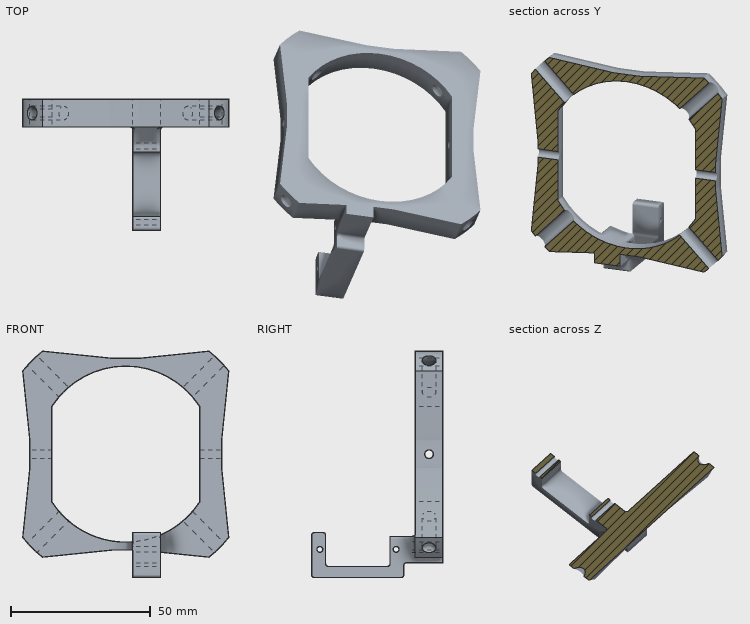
import cadquery as cq
import math

frame_half_size = 36.93
frame_thickness = 10.0
waist_half_height = 34.4
waist_half_length = 5.0
corner_half_span = 29.8
corner_radius = math.hypot(frame_half_size, corner_half_span)

bore_radius = 31.5
bore_flat_half_width = 26.5

corner_hole_diameter = 4.9
side_hole_diameter = 3.0

arm_width = 10.0
arm_center_x = 7.5
arm_reach = 37.1
arm_left_x = arm_center_x - arm_width / 2
arm_right_x = arm_center_x + arm_width / 2
root_bottom_z = -38.93
hook_bottom_z = -44.2
hook_floor_thickness = 4.0
hook_floor_z = hook_bottom_z + hook_floor_thickness
root_length = 9.0
root_blank_top_z = -25.0
step_length = 4.0
post_thickness = 5.1
post_top_z = -28.05
fillet_radius = 1.0

pin_hole_diameter = 2.0
pin_hole_z = -34.1
pin_hole_ys = (-6.8, -34.1)


def turn_clockwise(x, z, quarter_turns):
    """Turn a point of the frame plane clockwise about the origin by quarter turns."""
    for _ in range(quarter_turns):
        x, z = z, -x
    return x, z


def make_frame():
    """Ring with waisted sides and corners rounded about the frame centre."""
    corner_middle = corner_radius / math.sqrt(2)
    outline = cq.Workplane("XZ").moveTo(-waist_half_length, waist_half_height)
    for quarter_turns in range(4):
        waist_end = turn_clockwise(waist_half_length, waist_half_height, quarter_turns)
        corner_start = turn_clockwise(corner_half_span, frame_half_size, quarter_turns)
        corner_peak = turn_clockwise(corner_middle, corner_middle, quarter_turns)
        corner_end = turn_clockwise(frame_half_size, corner_half_span, quarter_turns)
        next_waist = turn_clockwise(waist_half_height, waist_half_length, quarter_turns)
        outline = outline.lineTo(*waist_end).lineTo(*corner_start)
        outline = outline.threePointArc(corner_peak, corner_end).lineTo(*next_waist)
    return outline.close().extrude(-frame_thickness)


def make_bore():
    """Flat-sided cylinder that clears the opening and shapes the top of the arm root."""
    length = frame_thickness + root_length
    cylinder = cq.Workplane("XZ", origin=(0, -root_length, 0)).circle(bore_radius).extrude(-length)
    slab = cq.Workplane("XY").box(2 * bore_flat_half_width, 4 * length, 2 * bore_radius)
    return cylinder.intersect(slab)


def make_arm():
    """Root block under the ring, stepping down to a U-shaped hook."""
    post_inner_y = post_thickness - arm_reach
    profile = (
        cq.Workplane("YZ", origin=(arm_left_x, 0, 0))
        .moveTo(frame_thickness, root_bottom_z)
        .lineTo(-step_length, root_bottom_z)
        .lineTo(-step_length, hook_bottom_z)
        .lineTo(-arm_reach, hook_bottom_z)
        .lineTo(-arm_reach, post_top_z)
        .lineTo(post_inner_y, post_top_z)
        .lineTo(post_inner_y, hook_floor_z)
        .lineTo(-root_length, hook_floor_z)
        .lineTo(-root_length, root_blank_top_z)
        .lineTo(0, root_blank_top_z)
        .lineTo(0, -waist_half_height)
        .lineTo(frame_thickness, -waist_half_height)
        .close()
    )
    arm = profile.extrude(arm_width)
    rounded_corners = (
        (-step_length, root_bottom_z),
        (-step_length, hook_bottom_z),
        (-arm_reach, hook_bottom_z),
        (-arm_reach, post_top_z),
        (post_inner_y, post_top_z),
        (post_inner_y, hook_floor_z),
        (-root_length, hook_floor_z),
    )
    for y, z in rounded_corners:
        corner = cq.selectors.NearestToPointSelector((arm_center_x, y, z))
        arm = arm.edges("|X").edges(corner).fillet(fillet_radius)
    return arm


def round_arm_root(body):
    """Round the curved top edges of the root, then blend its sides into the front face."""
    for x in (arm_left_x, arm_right_x):
        top_z = -math.sqrt(bore_radius**2 - x**2)
        top_edge = cq.selectors.NearestToPointSelector((x, -root_length / 2, top_z))
        body = body.edges(top_edge).fillet(fillet_radius)
        side_corner = cq.selectors.NearestToPointSelector((x, 0, (top_z - waist_half_height) / 2))
        body = body.edges("|Z").edges(side_corner).fillet(fillet_radius)
    return body


def cut_frame_holes(body):
    """Radial holes through the four corners and the two sides."""
    for angle in (-45, 45):
        hole = cq.Workplane("XY").circle(corner_hole_diameter / 2).extrude(corner_radius, both=True)
        hole = hole.rotate((0, 0, 0), (0, 1, 0), angle)
        body = body.cut(hole.translate((0, frame_thickness / 2, 0)))
    side_hole = (
        cq.Workplane("YZ", origin=(0, frame_thickness / 2, 0))
        .circle(side_hole_diameter / 2)
        .extrude(frame_half_size, both=True)
    )
    return body.cut(side_hole)


def cut_pin_holes(body):
    """Two aligned holes through the root and the post of the hook."""
    for y in pin_hole_ys:
        hole = (
            cq.Workplane("YZ", origin=(arm_left_x, y, pin_hole_z))
            .circle(pin_hole_diameter / 2)
            .extrude(arm_width)
        )
        body = body.cut(hole)
    return body


body = make_frame().union(make_arm()).cut(make_bore())
body = round_arm_root(body)
body = cut_frame_holes(body)
result = cut_pin_holes(body)